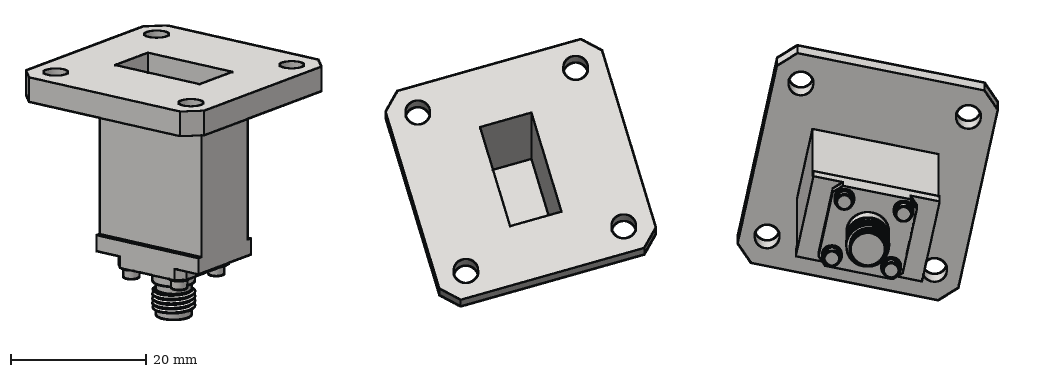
import cadquery as cq
import math

inch = 25.4
overall_height = 38.1

flange_size = 33.32
flange_thickness = 3.81
flange_corner = 2.54
mount_hole_diameter = 3.66
mount_hole_spacing_x = 25.27
mount_hole_spacing_y = 24.29

aperture_width = 15.8
aperture_height = 7.9
body_width = 19.05
body_depth = 11.2
end_plate_depth = 12.7
end_plate_thickness = 2.49

jack_plate_size = 12.7
jack_plate_thickness = 1.75
jack_plate_corner = 1.27
screw_spacing = 8.94
washer_diameter = 2.95
washer_thickness = 0.3
screw_head_diameter = 2.44
screw_stack_height = 1.78
screw_head_chamfer = 0.13

jack_length = 7.87
collar_diameter = 6.35
collar_length = 2.6
collar_chamfer = 0.13
barrel_diameter = 5.33
barrel_chamfer = 0.15

thread_diameter = 6.35
thread_pitch = inch / 36
thread_crest_width = 0.05
thread_half_angle = math.radians(30)
thread_length = 3.02
thread_tip_gap = 1.1
thread_end_chamfer = 0.27
thread_phase_height = 0.78
thread_root_overlap = 0.03
thread_trim_clearance = 0.05

jack_tip_z = -overall_height
jack_plate_bottom_z = jack_tip_z + jack_length
end_plate_bottom_z = jack_plate_bottom_z + jack_plate_thickness
end_plate_top_z = end_plate_bottom_z + end_plate_thickness


def box_between(width, depth, bottom_z, top_z):
    """Centred rectangular block between two levels."""
    return cq.Workplane("XY", origin=(0, 0, bottom_z)).rect(width, depth).extrude(top_z - bottom_z)


def cylinder_below(diameter, top_z, length, points=((0, 0),)):
    """Vertical cylinders hanging down from top_z."""
    base = cq.Workplane("XY", origin=(0, 0, top_z)).pushPoints(points)
    return base.circle(diameter / 2).extrude(-length)


def corner_points(spacing_x, spacing_y):
    """Four points at the corners of a centred rectangle."""
    return [(sx * spacing_x / 2, sy * spacing_y / 2) for sx in (-1, 1) for sy in (-1, 1)]


def make_flange():
    flange = box_between(flange_size, flange_size, -flange_thickness, 0)
    flange = flange.edges("|Z").chamfer(flange_corner)
    holes = corner_points(mount_hole_spacing_x, mount_hole_spacing_y)
    return flange.cut(cylinder_below(mount_hole_diameter, 0, flange_thickness, holes))


def make_body():
    tube = box_between(body_width, body_depth, end_plate_top_z, -flange_thickness)
    end_plate = box_between(body_width, end_plate_depth, end_plate_bottom_z, end_plate_top_z)
    return tube.union(end_plate)


def make_waveguide():
    return box_between(aperture_width, aperture_height, end_plate_top_z, 0)


def make_jack_plate():
    plate = box_between(jack_plate_size, jack_plate_size, jack_plate_bottom_z, end_plate_bottom_z)
    return plate.edges("|Z").chamfer(jack_plate_corner)


def make_screws():
    points = corner_points(screw_spacing, screw_spacing)
    washers = cylinder_below(washer_diameter, jack_plate_bottom_z, washer_thickness, points)
    heads = cylinder_below(screw_head_diameter, jack_plate_bottom_z, screw_stack_height, points)
    heads = heads.faces("<Z").edges().chamfer(screw_head_chamfer)
    return washers.union(heads)


def make_jack():
    collar = cylinder_below(collar_diameter, jack_plate_bottom_z, collar_length)
    collar = collar.faces("<Z").edges().chamfer(collar_chamfer)
    barrel = cylinder_below(barrel_diameter, jack_plate_bottom_z, jack_length)
    barrel = barrel.faces("<Z").edges().chamfer(barrel_chamfer)
    return collar.union(barrel)


def make_thread():
    """Helical ridge, trimmed to a band with chamfered ends."""
    crest_radius = thread_diameter / 2
    root_radius = barrel_diameter / 2 - thread_root_overlap
    crest_half = thread_crest_width / 2
    root_half = crest_half + (crest_radius - root_radius) * math.tan(thread_half_angle)
    turns = math.ceil(thread_length / thread_pitch) + 1
    start_z = jack_tip_z + thread_phase_height
    helix = cq.Wire.makeHelix(thread_pitch, turns * thread_pitch, root_radius, cq.Vector(0, 0, start_z))
    ridge = (
        cq.Workplane("XZ", origin=(0, 0, start_z))
        .moveTo(root_radius, -root_half)
        .lineTo(crest_radius, -crest_half)
        .lineTo(crest_radius, crest_half)
        .lineTo(root_radius, root_half)
        .close()
        .sweep(cq.Workplane(obj=helix), isFrenet=True)
    )
    band_diameter = thread_diameter + 2 * thread_trim_clearance
    band_top_z = jack_tip_z + thread_tip_gap + thread_length
    band = cylinder_below(band_diameter, band_top_z, thread_length)
    band = band.edges("%CIRCLE").chamfer(thread_end_chamfer)
    return ridge.intersect(band)


result = (
    make_flange()
    .union(make_body())
    .cut(make_waveguide())
    .union(make_jack_plate())
    .union(make_screws())
    .union(make_jack())
    .union(make_thread())
)